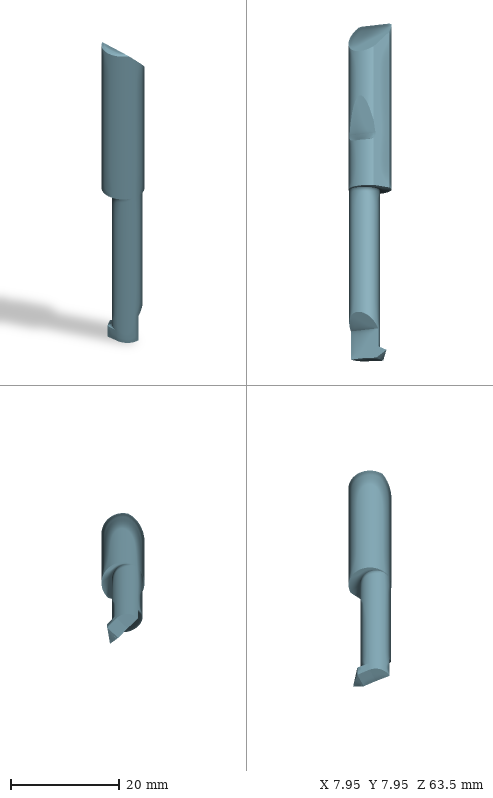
import cadquery as cq
import math

total_length = 63.5
shank_diameter = 7.95
shank_radius = shank_diameter / 2
shank_bottom = 31.95

end_chamfer_width = 0.45
end_chamfer_height = 0.2
end_land_y = -2.15

flat_angle = 26.5
flat_distance = 3.55

notch_floor_y = 2.8
notch_top = 48.95
notch_ramp_end = 41.9
notch_bottom = 40.6

neck_diameter = 5.65
neck_radius = neck_diameter / 2
neck_x = shank_radius - neck_radius
neck_bottom = 0.2
neck_ramp_foot = 5.5

tip_x = -3.4
tip_z = 1.3
tooth_left = -1.3
tooth_right = 1.2
tooth_top = 2.35


def extrude_across(points):
    """Prism from a (Y, Z) outline, spanning the full width in X."""
    return cq.Workplane("YZ").polyline(points).close().extrude(shank_radius * 2, both=True)


def make_shank():
    shank = cq.Workplane("XY", origin=(0, 0, shank_bottom)).circle(shank_radius)
    shank = shank.extrude(total_length - shank_bottom)
    shank = shank.faces(">Z").chamfer(end_chamfer_height, end_chamfer_width)

    slant_run = 2 * shank_radius
    shank = shank.cut(extrude_across([
        (end_land_y, total_length),
        (end_land_y + slant_run, total_length - slant_run),
        (end_land_y + slant_run, total_length),
    ]))

    flat_cutter = (
        cq.Workplane("XY")
        .box(shank_radius, 4 * shank_radius, total_length, centered=(False, True, False))
        .translate((flat_distance, 0, 0))
        .rotate((0, 0, 0), (0, 0, 1), 180 - flat_angle)
    )
    shank = shank.cut(flat_cutter)

    run_out = shank_radius - notch_floor_y
    bend = run_out * math.sqrt(0.5)
    notch = (
        cq.Workplane("YZ")
        .moveTo(shank_radius, notch_top)
        .lineTo(notch_floor_y, notch_ramp_end)
        .lineTo(notch_floor_y, notch_bottom + run_out)
        .threePointArc(
            (shank_radius - bend, notch_bottom + run_out - bend),
            (shank_radius, notch_bottom),
        )
        .close()
        .extrude(2 * shank_radius, both=True)
    )
    return shank.cut(notch)


def make_neck():
    neck = cq.Workplane("XY", origin=(neck_x, 0, neck_bottom)).circle(neck_radius)
    neck = neck.extrude(shank_bottom - neck_bottom)
    return neck.cut(extrude_across([
        (0, 0),
        (0, neck_ramp_foot),
        (shank_radius, neck_ramp_foot + shank_radius),
        (shank_radius, 0),
    ]))


def make_tooth():
    """Block with a relieved point, its cutting face lying on the Y = 0 plane."""
    tip = (tip_x, 0, tip_z)

    def corners(y):
        return [
            (tooth_left, y, 0),
            (tooth_right, y, neck_bottom),
            (tooth_right, y, tooth_top),
            (tooth_left, y, tooth_top),
        ]

    front = corners(-neck_radius)
    back = corners(0)
    outlines = [
        front,
        back + [tip],
        [front[0], front[1], back[1], back[0]],
        [front[1], front[2], back[2], back[1]],
        [front[2], front[3], back[3], back[2]],
        [tip, front[0], front[3]],
        [tip, front[0], back[0]],
        [tip, front[3], back[3]],
    ]
    faces = [cq.Face.makeFromWires(cq.Wire.makePolygon(o, close=True)) for o in outlines]
    return cq.Workplane(cq.Solid.makeSolid(cq.Shell.makeShell(faces)))


result = make_shank().union(make_neck()).union(make_tooth())